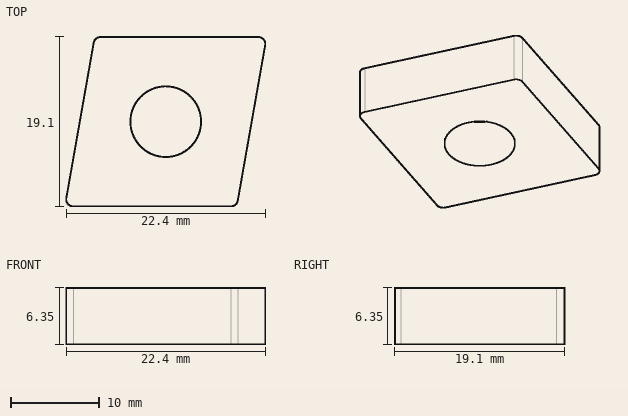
import cadquery as cq
import math

inscribed_circle = 19.05
thickness = 6.35
hole_diameter = 7.92
corner_angle = math.radians(80)
corner_radius = 0.8

side_length = inscribed_circle / math.sin(corner_angle)
half_height = inscribed_circle / 2
half_lean = half_height / math.tan(corner_angle)
half_side = side_length / 2


def insert_body():
    """Rhombic prism with all four upright corners rounded."""
    corners = [
        (-half_side - half_lean, -half_height),
        (half_side - half_lean, -half_height),
        (half_side + half_lean, half_height),
        (-half_side + half_lean, half_height),
    ]
    prism = cq.Workplane("XY").polyline(corners).close().extrude(thickness)
    return prism.edges("|Z").fillet(corner_radius)


def clamping_hole():
    """Cylinder that passes through the full thickness."""
    return cq.Workplane("XY").circle(hole_diameter / 2).extrude(thickness)


result = insert_body().cut(clamping_hole())